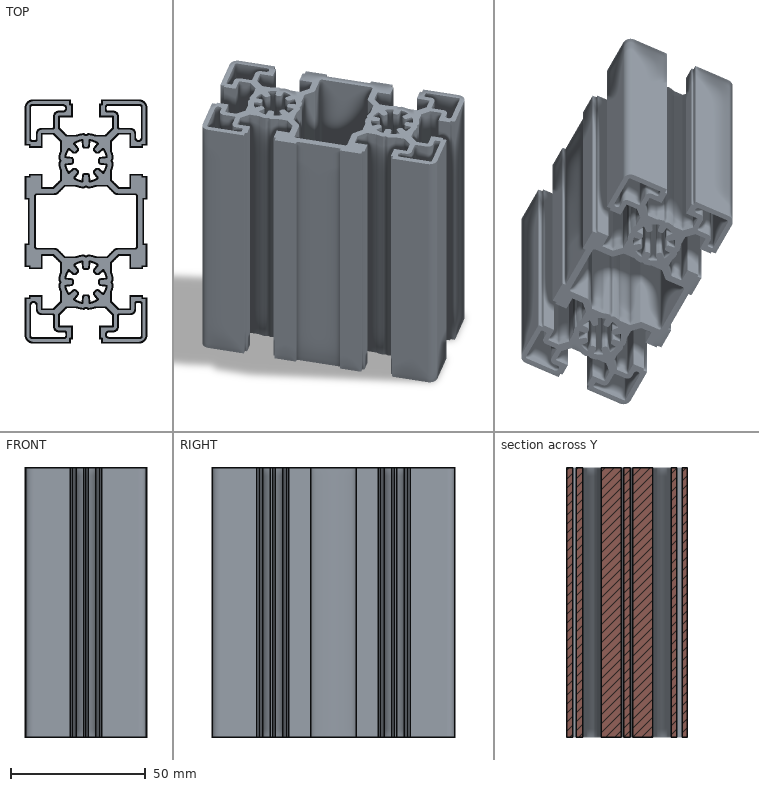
import cadquery as cq

MODULE = 45.0
LENGTH = 100.0
HALF_MODULE = MODULE / 2
CORNER_RADIUS = 3.0
CELL_CENTERS = [(0, -HALF_MODULE), (0, HALF_MODULE)]

SLOT_HALF_WIDTH = 5.1
MOUTH_HALF_WIDTH = 5.9
MOUTH_DEPTH = 1.6
LIP_INNER = 16.4
CHAMBER_HALF_WIDTH = 10.0
SLOT_FLOOR = 9.3
DIAGONAL_OFFSET = 2.1

WALL = 1.9
POCKET_OUTER = HALF_MODULE - WALL
POCKET_ELBOW = CHAMBER_HALF_WIDTH + WALL
POCKET_LEDGE = LIP_INNER + WALL
POCKET_TIP = 7.4
POCKET_BEND_RADIUS = 1.9
POCKET_CORNER_RADIUS = 0.5
POCKET_END_RADIUS = 1.1

CAVITY_WALL = 2.4
RECESS_DEPTH = 1.2
RECESS_HALF_LENGTH = 8.4
CAVITY_HALF_WIDTH = HALF_MODULE - RECESS_DEPTH - CAVITY_WALL
CAVITY_HALF_LENGTH = HALF_MODULE - CHAMBER_HALF_WIDTH - CAVITY_WALL
CAVITY_DIAGONAL_OFFSET = 1.4
CAVITY_FILLET = 0.8
CAVITY_SHOULDER_RADIUS = 1.5

CORE_OUTER_RADIUS = 10.0
CORE_BORE_RADIUS = 7.8
RIB_COUNT = 8
RIB_TIP = 4.8
RIB_TIP_HALF_WIDTH = 1.1
RIB_ROOT_HALF_WIDTH = 1.4
RIB_TIP_FILLET = 0.8
GROOVE_DEPTH = 0.5
GROOVE_HALF_WIDTH = 1.0


def prism(points):
    """Full-length body with the given polygonal section."""
    return cq.Workplane("XY").polyline(points).close().extrude(LENGTH)


def mirrored_outline(right_side):
    """Close an outline that is symmetric about the Y axis."""
    return right_side + [(-x, y) for x, y in reversed(right_side)]


def core_cylinder(center):
    """Full-length outer cylinder of a core."""
    return cq.Workplane("XY").center(*center).circle(CORE_OUTER_RADIUS).extrude(LENGTH)


def groove():
    """V-groove along the outside of a core, on its +Y side."""
    return prism([
        (-GROOVE_HALF_WIDTH, CORE_OUTER_RADIUS),
        (0, CORE_OUTER_RADIUS - GROOVE_DEPTH),
        (GROOVE_HALF_WIDTH, CORE_OUTER_RADIUS),
    ])


def t_slot():
    """Void of the slot on the +Y side of a cell centred on the origin."""
    mouth_floor = HALF_MODULE - MOUTH_DEPTH
    void = prism(mirrored_outline([
        (SLOT_FLOOR - DIAGONAL_OFFSET, SLOT_FLOOR),
        (CHAMBER_HALF_WIDTH, CHAMBER_HALF_WIDTH + DIAGONAL_OFFSET),
        (CHAMBER_HALF_WIDTH, LIP_INNER),
        (SLOT_HALF_WIDTH, LIP_INNER),
        (SLOT_HALF_WIDTH, mouth_floor),
        (MOUTH_HALF_WIDTH, mouth_floor),
        (MOUTH_HALF_WIDTH, HALF_MODULE),
    ]))
    return void.cut(core_cylinder((0, 0)))


def corner_pocket():
    """Void of the L-shaped hollow in the +X +Y corner of a cell."""
    pocket = prism([
        (POCKET_OUTER, POCKET_OUTER),
        (POCKET_TIP, POCKET_OUTER),
        (POCKET_TIP, POCKET_LEDGE),
        (POCKET_ELBOW, POCKET_LEDGE),
        (POCKET_ELBOW, POCKET_ELBOW),
        (POCKET_LEDGE, POCKET_ELBOW),
        (POCKET_LEDGE, POCKET_TIP),
        (POCKET_OUTER, POCKET_TIP),
    ])
    corner_radii = [
        (POCKET_ELBOW, POCKET_LEDGE, POCKET_BEND_RADIUS),
        (POCKET_LEDGE, POCKET_ELBOW, POCKET_BEND_RADIUS),
        (POCKET_LEDGE, POCKET_TIP, POCKET_END_RADIUS),
        (POCKET_OUTER, POCKET_TIP, POCKET_END_RADIUS),
        (POCKET_TIP, POCKET_OUTER, POCKET_CORNER_RADIUS),
        (POCKET_TIP, POCKET_LEDGE, POCKET_CORNER_RADIUS),
        (POCKET_OUTER, POCKET_OUTER, POCKET_CORNER_RADIUS),
        (POCKET_ELBOW, POCKET_ELBOW, POCKET_CORNER_RADIUS),
    ]
    for x, y, radius in corner_radii:
        corner_edge = cq.NearestToPointSelector((x, y, LENGTH / 2))
        pocket = pocket.edges(corner_edge).fillet(radius)
    return pocket


def core_bore():
    """Void of a core: a bore with tapered ribs pointing at its axis."""
    rib = prism([
        (CORE_BORE_RADIUS, -RIB_ROOT_HALF_WIDTH),
        (RIB_TIP, -RIB_TIP_HALF_WIDTH),
        (RIB_TIP, RIB_TIP_HALF_WIDTH),
        (CORE_BORE_RADIUS, RIB_ROOT_HALF_WIDTH),
    ]).edges("|Z and <X").fillet(RIB_TIP_FILLET)
    bore = cq.Workplane("XY").circle(CORE_BORE_RADIUS).extrude(LENGTH)
    for i in range(RIB_COUNT):
        bore = bore.cut(rib.rotate((0, 0, 0), (0, 0, 1), i * 360 / RIB_COUNT))
    return bore


def central_cavity():
    """Void between the cells, narrowing toward each core."""
    neck_y = HALF_MODULE - SLOT_FLOOR
    shoulder_x = HALF_MODULE - CAVITY_HALF_LENGTH - CAVITY_DIAGONAL_OFFSET
    neck_x = SLOT_FLOOR - CAVITY_DIAGONAL_OFFSET
    void = (
        cq.Workplane("XY").rect(2 * CAVITY_HALF_WIDTH, 2 * CAVITY_HALF_LENGTH).extrude(LENGTH)
        .edges("|Z").fillet(CAVITY_FILLET)
    )
    void = void.union(prism(mirrored_outline([
        (neck_x, -neck_y),
        (shoulder_x, -CAVITY_HALF_LENGTH),
        (shoulder_x, CAVITY_HALF_LENGTH),
        (neck_x, neck_y),
    ])))
    for x in (-shoulder_x, shoulder_x):
        for y in (-CAVITY_HALF_LENGTH, CAVITY_HALF_LENGTH):
            shoulder = cq.NearestToPointSelector((x, y, LENGTH / 2))
            void = void.edges(shoulder).fillet(CAVITY_SHOULDER_RADIUS)
    for center in CELL_CENTERS:
        void = void.cut(core_cylinder(center))
    return void


profile = cq.Workplane("XY").rect(MODULE, 2 * MODULE).extrude(LENGTH).edges("|Z").fillet(CORNER_RADIUS)
profile = profile.cut(central_cavity())

for side in (-1, 1):
    recess = cq.Workplane("XY").center(side * HALF_MODULE, 0)
    profile = profile.cut(recess.rect(2 * RECESS_DEPTH, 2 * RECESS_HALF_LENGTH).extrude(LENGTH))



def place(body, angle, cell_turn):
    """Turn a body about its own cell axis, then carry it to one of the two cells."""
    in_cell = body.rotate((0, 0, 0), (0, 0, 1), angle).translate((0, HALF_MODULE, 0))
    return in_cell.rotate((0, 0, 0), (0, 0, 1), cell_turn)


cell_voids = [
    (core_bore(), (0,)),
    (t_slot(), (-90, 0, 90)),
    (corner_pocket(), (0, 90)),
    (groove(), (-90, 0, 90, 180)),
]
for cell_turn in (0, 180):
    for void, angles in cell_voids:
        for angle in angles:
            profile = profile.cut(place(void, angle, cell_turn))

result = profile